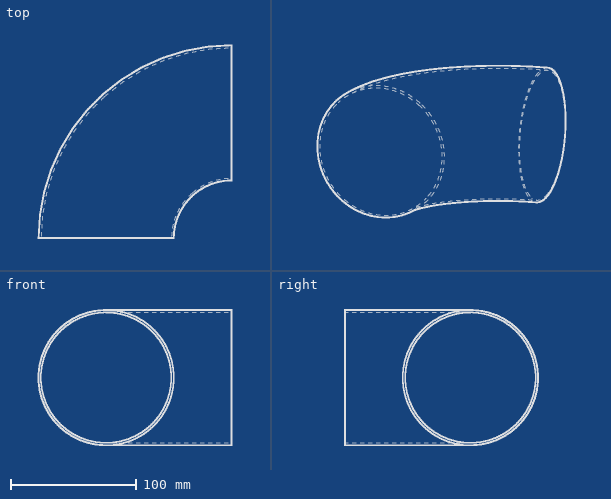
import cadquery as cq

outer_diameter = 108.0
wall_thickness = 2.0
bend_radius = 100.0
bend_angle = 90.0

outer_radius = outer_diameter / 2
inner_radius = outer_radius - wall_thickness


def make_elbow():
    """Revolve the pipe ring about the Z axis, from the -Y end face to the +X end face."""
    ring = (
        cq.Workplane("XZ")
        .center(-bend_radius, 0)
        .circle(outer_radius)
        .circle(inner_radius)
    )
    axis_start = (bend_radius, 0)
    axis_end = (bend_radius, -1)
    return ring.revolve(bend_angle, axis_start, axis_end)


result = make_elbow()